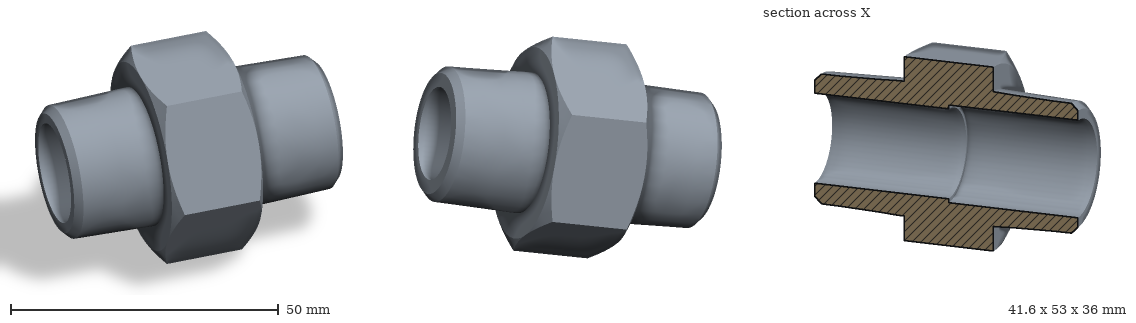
import cadquery as cq
import math

across_flats = 36.0
hex_width = 18.0
hex_chamfer_angle = math.radians(30)

spigot_diameter = 26.44
front_spigot_length = 17.0
rear_collar_length = 1.0
rear_spigot_length = 17.0
taper_per_length = 1 / 16
end_chamfer = 1.35

front_bore_diameter = 19.0
rear_bore_diameter = 17.5
bore_step_y = 0.0

across_corners = across_flats / math.cos(math.radians(30))
hex_front_y = -hex_width / 2
hex_rear_y = hex_width / 2
front_end_y = hex_front_y - front_spigot_length
rear_taper_y = hex_rear_y + rear_collar_length
rear_end_y = rear_taper_y + rear_spigot_length


def revolve_about_y(points):
    """Solid of revolution about the Y axis from (radius, y) points."""
    return cq.Workplane("XY").polyline(points).close().revolve(360, (0, 0, 0), (0, 1, 0))


def make_hexagon():
    """Hexagonal prism whose corners are cut by a cone at each end face."""
    prism = (
        cq.Workplane("XZ", origin=(0, hex_rear_y, 0))
        .polygon(6, across_corners)
        .extrude(hex_width)
    )
    flat_radius = across_flats / 2
    outer_radius = across_corners / 2 + 1.0
    cone_height = (outer_radius - flat_radius) * math.tan(hex_chamfer_angle)
    envelope = revolve_about_y([
        (0, hex_front_y),
        (flat_radius, hex_front_y),
        (outer_radius, hex_front_y + cone_height),
        (outer_radius, hex_rear_y - cone_height),
        (flat_radius, hex_rear_y),
        (0, hex_rear_y),
    ])
    return prism.intersect(envelope)


def make_spigot(taper_start_y, end_y):
    """Tapered spigot with a 45 degree end chamfer, rooted at the hexagon mid-plane."""
    direction = math.copysign(1, end_y)
    base_radius = spigot_diameter / 2
    taper_length = abs(end_y - taper_start_y) - end_chamfer
    taper_end_radius = base_radius - taper_length * taper_per_length / 2
    return revolve_about_y([
        (0, 0),
        (base_radius, 0),
        (base_radius, taper_start_y),
        (taper_end_radius, end_y - direction * end_chamfer),
        (taper_end_radius - end_chamfer, end_y),
        (0, end_y),
    ])


def make_bore():
    """Stepped through bore."""
    front_radius = front_bore_diameter / 2
    rear_radius = rear_bore_diameter / 2
    return revolve_about_y([
        (0, front_end_y),
        (front_radius, front_end_y),
        (front_radius, bore_step_y),
        (rear_radius, bore_step_y),
        (rear_radius, rear_end_y),
        (0, rear_end_y),
    ])


front_spigot = make_spigot(hex_front_y, front_end_y)
rear_spigot = make_spigot(rear_taper_y, rear_end_y)
result = make_hexagon().union(front_spigot).union(rear_spigot).cut(make_bore())